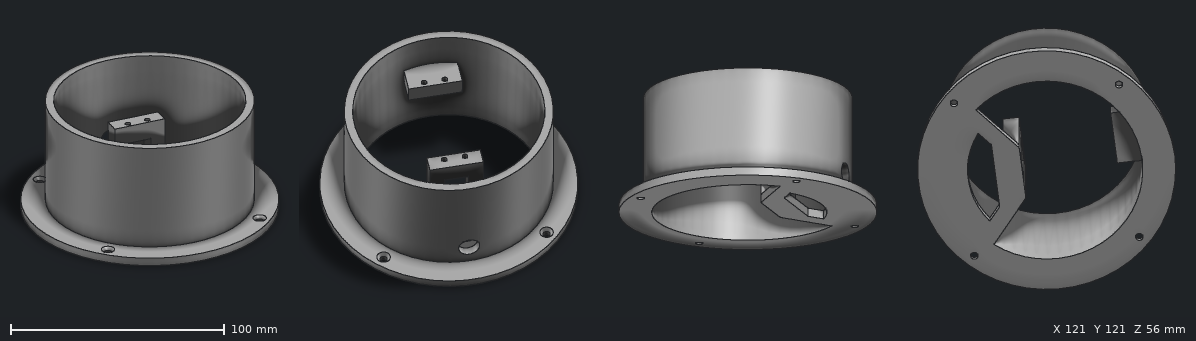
import cadquery as cq
import math

flange_diameter = 121.0
flange_thickness = 4.0
tube_outer_diameter = 98.0
bore_diameter = 90.0
total_height = 56.0
bore_radius = bore_diameter / 2
wall_middle_radius = (tube_outer_diameter + bore_diameter) / 4

axis_angle = -33.5

flange_hole_diameter = 3.4
countersink_diameter = 6.3
countersink_angle = 90
flange_hole_count = 4
first_flange_hole_angle = 45
flange_hole_circle_radius = 55.1

side_hole_diameter = 10.0
side_hole_height = 13.8

block_width = 25.7
block_top = 38.0
block_thickness = 8.0
screw_hole_diameter = 2.5
screw_hole_depth = 6.0
screw_hole_spacing = 9.9
screw_hole_inset = 2.5

post_front = -11.4
post_depth = 7.7
post_window_width = 11.4
post_window_top = 29.0

arm_angle = 50.5
frame_margin = 8.0
frame_bar_depth = 12.8

ledge_front = 31.7


def arm_end(corner_x, corner_y, radius):
    """Follow the splayed arm direction from a corner until it meets a circle about Z."""
    direction_x = -math.cos(math.radians(arm_angle))
    direction_y = math.sin(math.radians(arm_angle))
    along = corner_x * direction_x + corner_y * direction_y
    gap = radius**2 - corner_x**2 - corner_y**2
    travel = -along + math.sqrt(along**2 + gap)
    return corner_x + travel * direction_x, corner_y + travel * direction_y


def arc_sided_plate(corner_x, corner_y, radius):
    """Plate with a straight front edge, two splayed edges and an arc at the back."""
    end_x, end_y = arm_end(corner_x, corner_y, radius)
    return (
        cq.Workplane("XY")
        .moveTo(corner_x, -corner_y)
        .lineTo(corner_x, corner_y)
        .lineTo(end_x, end_y)
        .threePointArc((-radius, 0), (end_x, -end_y))
        .close()
        .extrude(flange_thickness)
    )


def box_between(x_start, x_end, width, z_start, z_end):
    """Box centred across the axis."""
    return (
        cq.Workplane("XY", origin=((x_start + x_end) / 2, 0, z_start))
        .rect(x_end - x_start, width)
        .extrude(z_end - z_start)
    )


def screw_holes(row_x):
    """Pair of blind holes sunk from the top of a block."""
    half_spacing = screw_hole_spacing / 2
    return (
        cq.Workplane("XY", origin=(row_x, 0, block_top))
        .pushPoints([(0, -half_spacing), (0, half_spacing)])
        .circle(screw_hole_diameter / 2)
        .extrude(-screw_hole_depth)
    )


def make_shell():
    """Bored tube and flange, with their holes."""
    flange = cq.Workplane("XY").circle(flange_diameter / 2).extrude(flange_thickness)
    tube = cq.Workplane("XY").circle(tube_outer_diameter / 2).extrude(total_height)
    bore = cq.Workplane("XY").circle(bore_radius).extrude(total_height)
    shell = flange.union(tube).cut(bore)
    shell = (
        shell.copyWorkplane(cq.Workplane("XY", origin=(0, 0, flange_thickness)))
        .polarArray(flange_hole_circle_radius, first_flange_hole_angle, 360, flange_hole_count)
        .cskHole(flange_hole_diameter, countersink_diameter, countersink_angle, flange_thickness)
    )
    side_hole = (
        cq.Workplane("YZ", origin=(-flange_diameter / 2, 0, side_hole_height))
        .circle(side_hole_diameter / 2)
        .extrude(flange_diameter / 2)
    )
    return shell.cut(side_hole)


def make_frame():
    """Floor frame reaching slightly into the tube wall for a full joint."""
    front_corner_y = block_width / 2
    plate = arc_sided_plate(post_front, front_corner_y, wall_middle_radius)
    opening_front = post_front - frame_bar_depth
    splay = math.radians(arm_angle)
    edge_rise = frame_bar_depth * math.tan(splay)
    opening_corner_y = front_corner_y + edge_rise - frame_margin / math.cos(splay)
    opening = arc_sided_plate(opening_front, opening_corner_y, bore_radius - frame_margin)
    return plate.cut(opening)


def make_post():
    """Upright block with a window in line with the side hole."""
    post_back = post_front - post_depth
    post = box_between(post_back, post_front, block_width, 0, block_top)
    window = box_between(post_back, post_front, post_window_width, flange_thickness, post_window_top)
    return post.cut(window).cut(screw_holes(post_front - screw_hole_inset))


def make_ledge():
    """Block reaching from the bore wall toward the centre."""
    ledge = box_between(
        ledge_front, wall_middle_radius, block_width, block_top - block_thickness, block_top
    )
    envelope = cq.Workplane("XY").circle(wall_middle_radius).extrude(total_height)
    return ledge.intersect(envelope).cut(screw_holes(ledge_front + screw_hole_inset))


part = make_shell().union(make_frame()).union(make_post()).union(make_ledge())
result = part.rotate((0, 0, 0), (0, 0, 1), axis_angle)